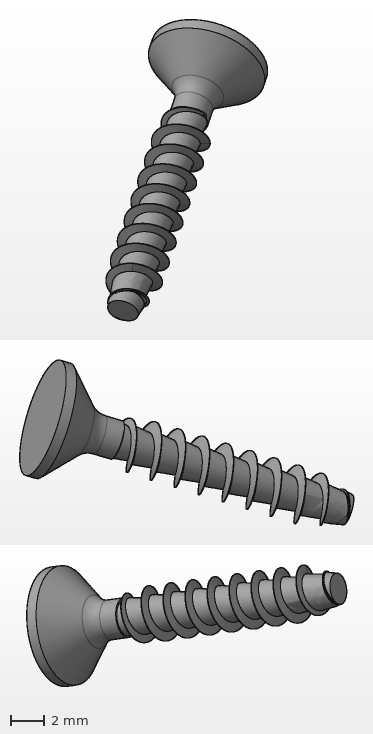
import cadquery as cq
import math

length = 20.0
head_diameter = 7.3
head_radius = head_diameter / 2
rim_height = 0.68
shank_radius = 1.22
neck_fillet = 1.4
head_half_angle = math.radians(45)
shank_end = 4.85
core_radius = 0.95

tip_radius = 0.95
tip_cone_height = 0.8
tip_cone_radius = 1.12

thread_start = 4.65
thread_turns = 9.75
lead_in_turns = 1.0
run_out_turns = 1.5
pitch = (length - thread_start) / thread_turns
crest_radius = 1.75
lead_in_crest_radius = 1.35
run_out_crest_radius = 0.92
ridge_depth = 0.8
crest_half_width = 0.02
flank_half_angle = math.radians(15)

root_high_radius = 1.18
root_low_radius = 1.0
root_start = 0.05
root_width = 1.45
root_lead_in_radius = 1.25
root_base_radius = 0.88
root_lead_in_turns = 1.0
root_overlap = 0.1


def helix(start_radius, end_radius, start, turns):
    """Right-handed helix along Z, beginning over +X, whose radius may change linearly."""
    height = turns * pitch
    if start_radius == end_radius:
        wire = cq.Wire.makeHelix(pitch, height, start_radius)
    else:
        taper = math.atan2(end_radius - start_radius, height)
        slant = 1 / math.cos(taper)
        wire = cq.Wire.makeHelix(pitch * slant, height * slant, start_radius, angle=math.degrees(taper))
    return wire.translate(cq.Vector(0, 0, start))


def helical_bar(profile, start, sections):
    """Solid swept along a helix.

    profile: (axial offset, radial offset) corners.
    sections: (turns, start radius, end radius) for each consecutive stretch.
    """
    faces = []
    first_corners = None
    turns_done = 0.0
    for turns, start_radius, end_radius in sections:
        edges = []
        for axial, radial in profile:
            place = start + turns_done * pitch + axial
            wire = helix(start_radius + radial, end_radius + radial, place, turns)
            wire = wire.rotate(cq.Vector(), cq.Vector(0, 0, 1), 360 * turns_done)
            edges.append(wire.Edges()[0])
        for edge, next_edge in zip(edges, edges[1:] + edges[:1]):
            faces.append(cq.Face.makeRuledSurface(edge, next_edge))
        if first_corners is None:
            first_corners = [edge.startPoint() for edge in edges]
        last_corners = [edge.endPoint() for edge in edges]
        turns_done += turns
    for corners in (first_corners, last_corners):
        faces.append(cq.Face.makeFromWires(cq.Wire.makePolygon(corners, close=True)))
    bar = cq.Solid.makeSolid(cq.Shell.makeShell(faces))
    return cq.Workplane(obj=bar.fix())


def make_body():
    """Countersunk head, filleted neck, plain shank and thread core as one revolved solid."""
    neck_radius = shank_radius + neck_fillet * (1 - math.cos(head_half_angle))
    neck_start = rim_height + (head_radius - neck_radius) / math.tan(head_half_angle)
    neck_end = neck_start + neck_fillet * math.sin(head_half_angle)
    mid_angle = head_half_angle / 2
    neck_middle = (
        shank_radius + neck_fillet * (1 - math.cos(mid_angle)),
        neck_end - neck_fillet * math.sin(mid_angle),
    )
    return (
        cq.Workplane("XZ")
        .moveTo(0, 0)
        .lineTo(head_radius, 0)
        .lineTo(head_radius, rim_height)
        .lineTo(neck_radius, neck_start)
        .threePointArc(neck_middle, (shank_radius, neck_end))
        .lineTo(shank_radius, shank_end)
        .lineTo(core_radius, shank_end)
        .lineTo(core_radius, length)
        .lineTo(0, length)
        .close()
        .revolve(360, (0, 0, 0), (0, 1, 0))
    )


def make_ridge():
    """Thread ridge that grows from the end of the shank and sinks into the core at the tip."""
    base_half_width = crest_half_width + ridge_depth * math.tan(flank_half_angle)
    profile = [
        (-base_half_width, -ridge_depth),
        (-crest_half_width, 0),
        (crest_half_width, 0),
        (base_half_width, -ridge_depth),
    ]
    full_turns = thread_turns - lead_in_turns - run_out_turns
    sections = [
        (lead_in_turns, lead_in_crest_radius, crest_radius),
        (full_turns, crest_radius, crest_radius),
        (run_out_turns, crest_radius, run_out_crest_radius),
    ]
    ridge = helical_bar(profile, thread_start, sections)
    threaded_length = cq.Workplane(origin=(0, 0, shank_end)).circle(head_radius).extrude(length - shank_end)
    return ridge.intersect(threaded_length)


def make_root():
    """Sloping root between thread turns, from inside the shank to the tip cone."""
    profile = [
        (root_start, root_base_radius - root_high_radius),
        (root_start, 0),
        (root_start + root_width, root_low_radius - root_high_radius),
        (root_start + root_width, root_base_radius - root_high_radius),
    ]
    sections = [
        (root_lead_in_turns, root_lead_in_radius, root_high_radius),
        (thread_turns, root_high_radius, root_high_radius),
    ]
    root = helical_bar(profile, thread_start - root_lead_in_turns * pitch, sections)
    cone_start = length - tip_cone_height
    envelope = (
        cq.Workplane("XZ")
        .moveTo(0, shank_end - root_overlap)
        .lineTo(shank_radius, shank_end - root_overlap)
        .lineTo(shank_radius, cone_start)
        .lineTo(tip_cone_radius, cone_start)
        .lineTo(tip_radius, length)
        .lineTo(0, length)
        .close()
        .revolve(360, (0, 0, 0), (0, 1, 0))
    )
    return root.intersect(envelope)


screw = make_body().union(make_root()).union(make_ridge())

result = screw.rotate((0, 0, 0), (1, 0, 0), 90)